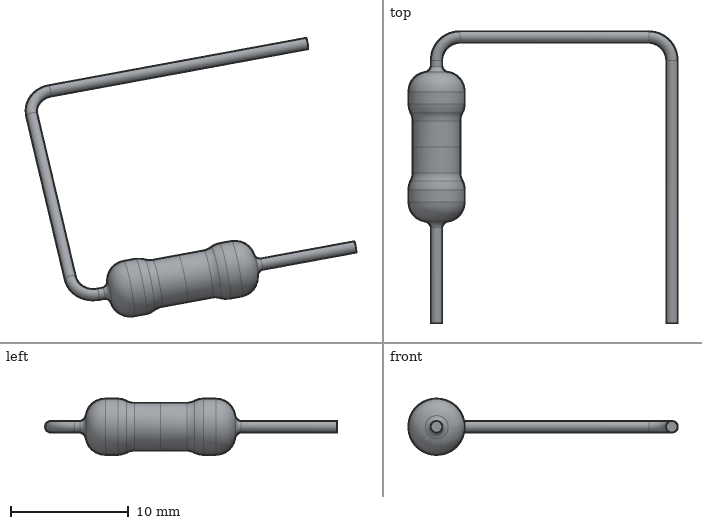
import cadquery as cq

wire_diameter = 1.0
lead_spacing = 20.0
lead_end_y = 0.0
overall_length = 24.8
bend_radius = 1.98

bulb_diameter = 4.8
waist_diameter = 4.1
waist_length = 4.45
neck_length = 0.67
shoulder_length = 0.75
bulb_band_length = 1.05
dome_length = 1.69
collar_flare = 0.47
straight_above_body = 0.5

wire_radius = wire_diameter / 2
bulb_radius = bulb_diameter / 2
waist_radius = waist_diameter / 2
crossbar_y = overall_length - wire_radius
bend_start_y = crossbar_y - bend_radius

waist_end = waist_length / 2
neck_end = waist_end + neck_length
shoulder_end = neck_end + shoulder_length
band_end = shoulder_end + bulb_band_length
dome_end = band_end + dome_length
flare_end = dome_end + collar_flare

neck_share = neck_length / (neck_length + shoulder_length)
neck_end_radius = waist_radius + (bulb_radius - waist_radius) * neck_share
body_middle_y = bend_start_y - straight_above_body - flare_end


def make_half_body():
    """Half of the body, revolved about Y from the middle towards +Y."""
    return (
        cq.Workplane("XY")
        .lineTo(waist_radius, 0)
        .lineTo(waist_radius, waist_end)
        .tangentArcPoint((neck_end_radius, neck_end), relative=False)
        .tangentArcPoint((bulb_radius, shoulder_end), relative=False)
        .lineTo(bulb_radius, band_end)
        .tangentArcPoint((wire_radius + collar_flare, dome_end), relative=False)
        .tangentArcPoint((wire_radius, flare_end), relative=False)
        .lineTo(0, flare_end)
        .close()
        .revolve(360, (0, 0, 0), (0, 1, 0))
    )


def make_body():
    half = make_half_body()
    return half.union(half.mirror("XZ")).translate((0, body_middle_y, 0))


def make_wire():
    """One wire through the body axis, across the top and back down."""
    path = (
        cq.Workplane("XY")
        .moveTo(0, lead_end_y)
        .lineTo(0, bend_start_y)
        .tangentArcPoint((bend_radius, crossbar_y), relative=False)
        .lineTo(lead_spacing - bend_radius, crossbar_y)
        .tangentArcPoint((lead_spacing, bend_start_y), relative=False)
        .lineTo(lead_spacing, lead_end_y)
    )
    section = cq.Workplane("XZ", origin=(0, lead_end_y, 0)).circle(wire_radius)
    return section.sweep(path)


result = make_body().union(make_wire())